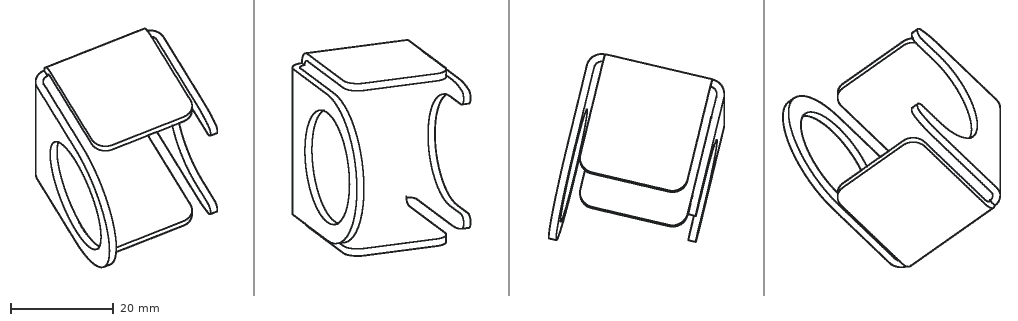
import cadquery as cq
import math

LENGTH = 35.0
DEPTH = 27.55
HEIGHT = 35.45
THICKNESS = 1.5

BEND_RADIUS = 3.0
SIDE_HEIGHT = 29.98
TOP_BEND_RADIUS = (HEIGHT - SIDE_HEIGHT) / 2

END_RADIUS = SIDE_HEIGHT / 2
HOLE_DIAMETER = 22.5
HOLE_X = LENGTH - END_RADIUS

FORK_LENGTH = 26.75
FORK_ARC_X = 21.0
FORK_TIP_RADIUS = 1.4

TAB_LENGTH = 24.0
TAB_CORNER_RADIUS = 3.0
TAB_WIDTH = DEPTH - 2 * BEND_RADIUS


def bent_strip(plane, edge, length, radius, width):
    """Strip that bends off the back plate and runs out along +X."""
    side = math.copysign(1, edge)
    inner_radius = radius - THICKNESS
    inner_edge = edge - side * THICKNESS
    bend_start = edge - side * radius
    diagonal = math.sqrt(0.5)

    def bend_middle(arc_radius):
        return (radius - arc_radius * diagonal, bend_start + side * arc_radius * diagonal)

    return (
        cq.Workplane(plane)
        .moveTo(0, bend_start)
        .threePointArc(bend_middle(radius), (radius, edge))
        .lineTo(length, edge)
        .lineTo(length, inner_edge)
        .lineTo(radius, inner_edge)
        .threePointArc(bend_middle(inner_radius), (THICKNESS, bend_start))
        .close()
        .extrude(width / 2, both=True)
    )


def back_plate():
    """Flat plate between the four bend lines."""
    bottom = BEND_RADIUS - HEIGHT / 2
    top = HEIGHT / 2 - TOP_BEND_RADIUS
    return cq.Workplane("XY").box(
        THICKNESS, TAB_WIDTH, top - bottom, centered=(False, True, False)
    ).translate((0, 0, bottom))


def rounded_outline(arc_x):
    """Block through the full depth with a half-round +X end centred at arc_x."""
    return (
        cq.Workplane("XZ")
        .moveTo(0, -END_RADIUS)
        .lineTo(arc_x, -END_RADIUS)
        .threePointArc((arc_x + END_RADIUS, 0), (arc_x, END_RADIUS))
        .lineTo(0, END_RADIUS)
        .close()
        .extrude(DEPTH, both=True)
    )


def hole_cutter():
    return (
        cq.Workplane("XZ")
        .center(HOLE_X, 0)
        .circle(HOLE_DIAMETER / 2)
        .extrude(DEPTH, both=True)
    )


def front_flange():
    strip = bent_strip("XY", -DEPTH / 2, LENGTH, BEND_RADIUS, SIDE_HEIGHT)
    return strip.intersect(rounded_outline(HOLE_X)).cut(hole_cutter())


def rear_flange():
    strip = bent_strip("XY", DEPTH / 2, FORK_LENGTH, BEND_RADIUS, SIDE_HEIGHT)
    slot = (
        cq.Workplane("XZ")
        .center(HOLE_X + LENGTH / 2, 0)
        .rect(LENGTH, HOLE_DIAMETER)
        .extrude(DEPTH, both=True)
    )
    fork = strip.intersect(rounded_outline(FORK_ARC_X)).cut(hole_cutter()).cut(slot)
    return fork.edges("|Y").edges(">X").fillet(FORK_TIP_RADIUS)


def tab(edge, radius):
    strip = bent_strip("XZ", edge, TAB_LENGTH, radius, TAB_WIDTH)
    return strip.edges("|Z").edges(">X").fillet(TAB_CORNER_RADIUS)


result = (
    back_plate()
    .union(front_flange())
    .union(rear_flange())
    .union(tab(HEIGHT / 2, TOP_BEND_RADIUS))
    .union(tab(-HEIGHT / 2, BEND_RADIUS))
)